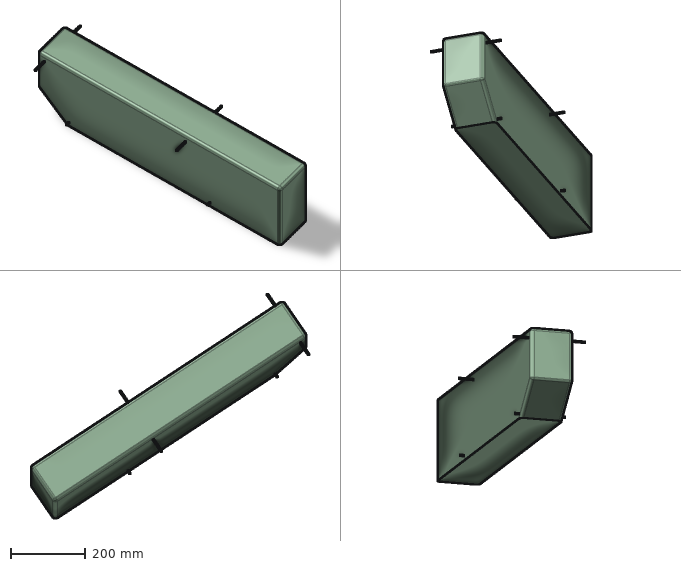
import cadquery as cq

length = 820.0
width = 120.0
height = 230.0
edge_radius = 10.0

slope_length = 93.0
slope_height = 87.0

pin_diameter = 4.0
pin_pitch = 476.5
upper_pin_span = 200.0
upper_pin_x = 24.0
upper_pin_z = height - 25.0
lower_pin_span = 140.0
lower_pin_x = upper_pin_x + 82.0
lower_pin_z = 14.0


def make_body():
    """Box with a sloped lower corner; every edge is rounded except around the flat bottom."""
    outline = [
        (slope_length, 0),
        (length, 0),
        (length, height),
        (0, height),
        (0, slope_height),
    ]
    block = cq.Workplane("XZ").polyline(outline).close().extrude(width / 2, both=True)
    return block.edges("not(<Z)").fillet(edge_radius)


def make_pins(first_x, z, span):
    """Pair of round pins along Y, one pitch apart."""
    return (
        cq.Workplane("XZ")
        .pushPoints([(first_x, z), (first_x + pin_pitch, z)])
        .circle(pin_diameter / 2)
        .extrude(span / 2, both=True)
    )


upper_pins = make_pins(upper_pin_x, upper_pin_z, upper_pin_span)
lower_pins = make_pins(lower_pin_x, lower_pin_z, lower_pin_span)
result = make_body().union(upper_pins).union(lower_pins)